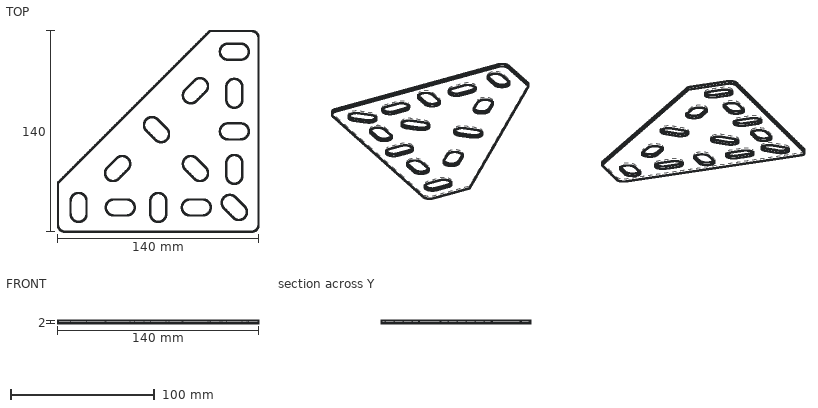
import cadquery as cq

side = 140.0
thickness = 2.0
end_width = 34.0
corner_radius = 5.0

slot_length = 20.0
slot_width = 11.0
edge_margin = 17.0
row_pitch = 26.5
end_margin = 14.5
diagonal_step = 27.1

corner_x = side - edge_margin
corner_y = edge_margin

along_x = 0
along_y = 90
falling = -45
rising = 45


def plate_blank():
    rounded_corners = [(0, 0), (side, 0), (side, side)]
    sloping_side_ends = [(side - end_width, side), (0, end_width)]
    outline = rounded_corners + sloping_side_ends
    blank = cq.Workplane("XY").polyline(outline).close().extrude(thickness)
    for x, y in rounded_corners:
        corner_edge = cq.selectors.NearestToPointSelector((x, y, thickness / 2))
        blank = blank.edges("|Z").edges(corner_edge).fillet(corner_radius)
    return blank


def mirrored(x, y):
    """Reflect a point across the plate's line of symmetry."""
    return side - y, side - x


def slot_places():
    """List every slot as (x, y, angle of its long axis from X)."""
    places = [(corner_x, corner_y, falling)]

    bottom_row = [
        (corner_x - row_pitch, along_x),
        (corner_x - 2 * row_pitch, along_y),
        (corner_x - 3 * row_pitch, along_x),
        (end_margin, along_y),
    ]
    for x, angle in bottom_row:
        mirrored_angle = along_y if angle == along_x else along_x
        places.append((x, corner_y, angle))
        places.append((*mirrored(x, corner_y), mirrored_angle))

    for i in (1, 2):
        shift = i * diagonal_step
        places.append((corner_x - shift, corner_y + shift, falling))
    middle_x, middle_y, _ = places[-1]

    for shift in (-diagonal_step, diagonal_step):
        places.append((middle_x + shift, middle_y + shift, rising))
    return places


def slot_cutter(x, y, angle):
    return (
        cq.Workplane("XY")
        .center(x, y)
        .slot2D(slot_length, slot_width, angle)
        .extrude(thickness)
    )


result = plate_blank()
for x, y, angle in slot_places():
    result = result.cut(slot_cutter(x, y, angle))